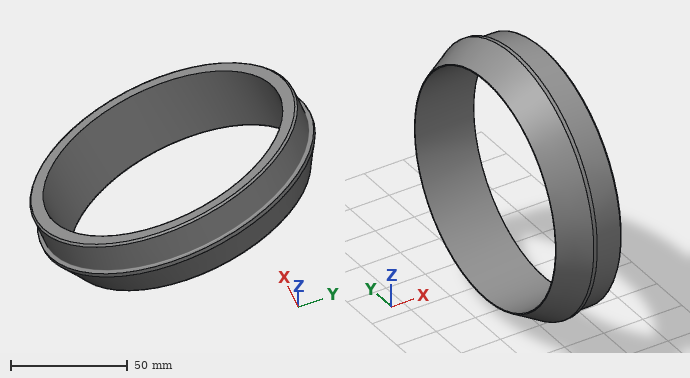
import cadquery as cq

length = 30.0
bore_radius = 112.0 / 2
rim_radius = 129 / 2
spigot_radius = 125.0 / 2
cone_tip_radius = 113.0 / 2
cone_length = 14.2
rim_width = 1.8
root_fillet = 0.4
end_chamfer = 0.9

x_start = -length / 2
x_end = x_start + length
x_cone_end = x_start + cone_length
x_rim_end = x_cone_end + rim_width

section = (
    cq.Workplane("XY")
    .moveTo(x_start, bore_radius)
    .lineTo(x_start, cone_tip_radius)
    .lineTo(x_cone_end, rim_radius)
    .lineTo(x_rim_end, rim_radius)
    .lineTo(x_rim_end, spigot_radius + root_fillet)
    .radiusArc((x_rim_end + root_fillet, spigot_radius), -root_fillet)
    .lineTo(x_end - end_chamfer, spigot_radius)
    .lineTo(x_end, spigot_radius - end_chamfer)
    .lineTo(x_end, bore_radius)
    .close()
)

result = section.revolve(360, (0, 0, 0), (1, 0, 0))